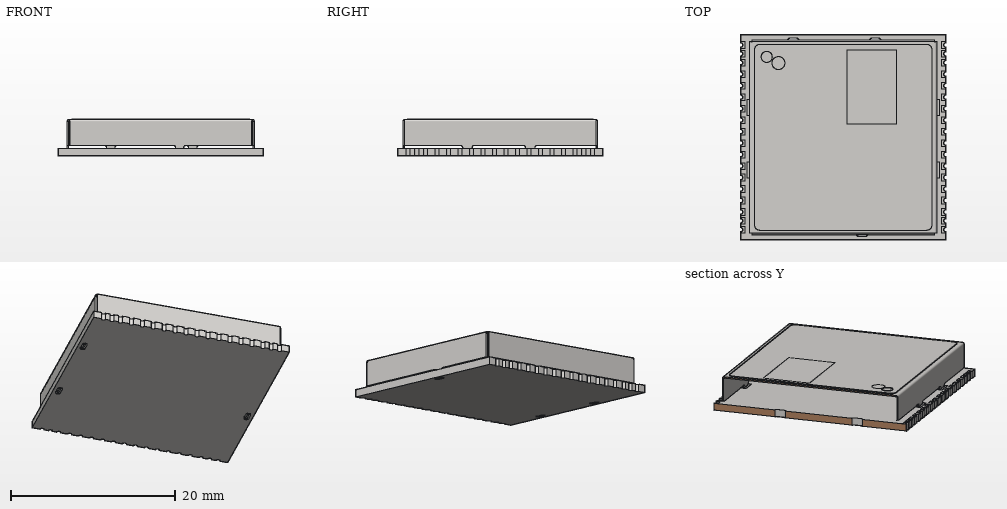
import cadquery as cq

SIDE = 25.0
BOARD_T = 0.92
TOTAL_H = 4.52
LABEL_T = 0.08
SHEET_T = 0.2

CONTACT_R = 0.25
CONTACT_PAD_DEPTH = 0.5
CONTACT_PAD_W = 0.8
CONTACT_COUNT = 14
CONTACT_PITCH = 1.4
END_CONTACTS = 2
END_PITCH = 1.08
PAD_RECESS = 0.02
PAD_FLOOR = BOARD_T - PAD_RECESS

CAN_X = 22.85
CAN_Y = 23.75
BEND_R = 0.28
WALL_GAP = 0.32
CORNER_NOTCH = 0.32
CAN_TOP = TOTAL_H - LABEL_T
ROOF_UNDERSIDE = CAN_TOP - SHEET_T
WALL_BOTTOM = BOARD_T + WALL_GAP
SIDE_WALL_X = (CAN_X - SHEET_T) / 2
END_WALL_Y = (CAN_Y - SHEET_T) / 2

SIDE_TAB_W = 1.2
SIDE_TAB_Y = (3.65, -4.0)
SOLDER_PAD_X = 0.8
SOLDER_PAD_Y = 1.92

END_TAB_W = 1.05
BACK_TAB_X = (-6.1, 3.9)
FRONT_TAB_X = 2.3
SLOT_L = 1.4
SLOT_W = 0.6
TAB_FILLET = 0.2

VENT_D = 1.58
VENT_POS = (-7.9, 9.05)
WINDOW_X = 6.0
WINDOW_Y = 9.0
WINDOW_POS = (3.48, 6.12)

LABEL_X = 21.6
LABEL_Y = 22.65
LABEL_CORNER_R = 0.6
MARK_D = 1.35
MARK_POS = (-9.32, 9.8)

SIDE_TABS = [(sign * SIDE_WALL_X, y) for sign in (-1, 1) for y in SIDE_TAB_Y]
END_TABS = [(x, END_WALL_Y) for x in BACK_TAB_X] + [(FRONT_TAB_X, -END_WALL_Y)]


def plane_at(z):
    return cq.Workplane("XY").workplane(offset=z)


def contact_positions():
    """Centres of the half holes on the left and right board edges."""
    half_row = (CONTACT_COUNT - 1) / 2 * CONTACT_PITCH
    main_row = [i * CONTACT_PITCH - half_row for i in range(CONTACT_COUNT)]
    row_end = [half_row + i * END_PITCH for i in range(1, END_CONTACTS + 1)]
    row = main_row + row_end + [-y for y in row_end]
    return [(sign * SIDE / 2, y) for sign in (-1, 1) for y in row]


def make_board():
    board = plane_at(0).rect(SIDE, SIDE).extrude(BOARD_T)
    contacts = contact_positions()
    contact_pads = (
        plane_at(PAD_FLOOR)
        .pushPoints(contacts)
        .rect(2 * CONTACT_PAD_DEPTH, CONTACT_PAD_W)
        .extrude(PAD_RECESS)
    )
    half_holes = plane_at(0).pushPoints(contacts).circle(CONTACT_R).extrude(BOARD_T)
    solder_pads = (
        plane_at(PAD_FLOOR)
        .pushPoints(SIDE_TABS)
        .rect(SOLDER_PAD_X, SOLDER_PAD_Y)
        .extrude(PAD_RECESS)
    )
    tab_slots = plane_at(0).pushPoints(END_TABS).slot2D(SLOT_L, SLOT_W).extrude(BOARD_T)
    return board.cut(contact_pads).cut(half_holes).cut(solder_pads).cut(tab_slots)


def folded_channel(width, length):
    """Roof with a wall bent down along both long sides; it runs along Y."""
    outside = plane_at(WALL_BOTTOM).rect(width, length).extrude(CAN_TOP - WALL_BOTTOM)
    outside = outside.edges("|Y and >Z").fillet(BEND_R)
    inside = plane_at(WALL_BOTTOM).rect(width - 2 * SHEET_T, length).extrude(ROOF_UNDERSIDE - WALL_BOTTOM)
    inside = inside.edges("|Y and >Z").fillet(BEND_R - SHEET_T)
    return outside.cut(inside)


def tab(width, foot):
    """Tab one sheet thick along X, filleted into the wall's lower edge, ending at height foot."""
    half = width / 2
    return (
        cq.Workplane("YZ", origin=(-SHEET_T / 2, 0, 0))
        .moveTo(-half, foot)
        .lineTo(half, foot)
        .lineTo(half, WALL_BOTTOM - TAB_FILLET)
        .radiusArc((half + TAB_FILLET, WALL_BOTTOM), TAB_FILLET)
        .lineTo(-half - TAB_FILLET, WALL_BOTTOM)
        .radiusArc((-half, WALL_BOTTOM - TAB_FILLET), TAB_FILLET)
        .close()
        .extrude(SHEET_T)
    )


def quarter_turn(shape):
    return shape.rotate((0, 0, 0), (0, 0, 1), 90)


def make_can():
    side_walls = folded_channel(CAN_X, CAN_Y - 2 * SHEET_T)
    end_walls = quarter_turn(folded_channel(CAN_Y, CAN_X - 2 * CORNER_NOTCH))
    can = side_walls.union(end_walls)

    side_tab = tab(SIDE_TAB_W, PAD_FLOOR)
    for x, y in SIDE_TABS:
        can = can.union(side_tab.translate((x, y, 0)))
    end_tab = quarter_turn(tab(END_TAB_W, 0))
    for x, y in END_TABS:
        can = can.union(end_tab.translate((x, y, 0)))

    vent = plane_at(ROOF_UNDERSIDE).center(*VENT_POS).circle(VENT_D / 2).extrude(SHEET_T)
    window = plane_at(ROOF_UNDERSIDE).center(*WINDOW_POS).rect(WINDOW_X, WINDOW_Y).extrude(SHEET_T)
    return can.cut(vent).cut(window)


def make_label():
    label = plane_at(CAN_TOP).rect(LABEL_X, LABEL_Y).extrude(LABEL_T)
    label = label.edges("|Z").fillet(LABEL_CORNER_R)
    mark = plane_at(CAN_TOP).center(*MARK_POS).circle(MARK_D / 2).extrude(LABEL_T)
    return label.cut(mark)


board = make_board()
can = make_can()
label = make_label()

result = cq.Compound.makeCompound([body.solids().val() for body in (board, can, label)])